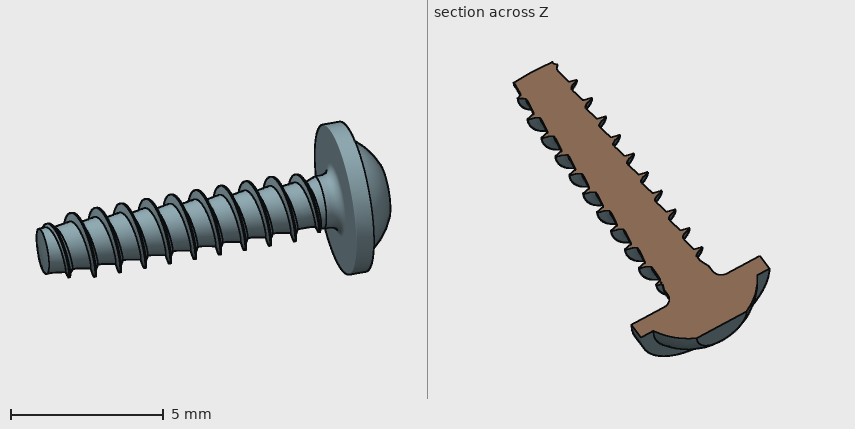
import cadquery as cq
import math

total_length = 11.6
head_diameter = 5.0
head_radius = head_diameter / 2
flange_thickness = 0.6
flange_edge_radius = 0.02
dome_height = 1.0
dome_base_radius = 2.02
dome_top_radius = 0.96

shank_length = total_length - flange_thickness - dome_height
neck_radius = 0.87
neck_fillet = 0.35
neck_end = 0.56
core_start = 0.89
core_radius = 0.74
tip_cone_height = 0.03

turns_along_shank = 11.75
pitch = shank_length / turns_along_shank
crest_radius = 1.11
crest_half_width = 0.02
flank_foot_radius = 0.88
flank_foot_offset = -0.08
collar_radius = 0.82
collar_offset = 0.09
bury_depth = 0.01
buried_radius = core_radius - bury_depth
ridge_root_radius = 0.64
ridge_top_edge = -0.17
ridge_bottom_edge = 0.63
run_in_start = 0.49
run_in_end = 1.48
run_in_crest_radius = 0.9
run_in_flank_foot_radius = 0.82
run_out_start = 8.72
faded_radius = 0.75
run_out_overrun = 0.16
run_out_end = shank_length + run_out_overrun
spline_points_per_turn = 24


def make_body():
    """Revolve the head, the neck and the plain core around the screw axis (Y)."""
    sphere_centre = (dome_top_radius**2 + dome_height**2 - dome_base_radius**2) / (2 * dome_height)
    sphere_radius = math.hypot(dome_base_radius, sphere_centre)
    dome_mid_height = dome_height / 2
    dome_mid_radius = math.sqrt(sphere_radius**2 - (dome_mid_height - sphere_centre) ** 2)
    fillet_mid = neck_fillet * (1 - math.sqrt(0.5))

    tip_edge = tip_cone_height - shank_length
    profile = (
        cq.Workplane("XY")
        .moveTo(0, flange_thickness + dome_height)
        .lineTo(dome_top_radius, flange_thickness + dome_height)
        .threePointArc(
            (dome_mid_radius, flange_thickness + dome_mid_height),
            (dome_base_radius, flange_thickness),
        )
        .lineTo(head_radius, flange_thickness)
        .lineTo(head_radius, 0)
        .lineTo(neck_radius + neck_fillet, 0)
        .threePointArc((neck_radius + fillet_mid, -fillet_mid), (neck_radius, -neck_fillet))
        .lineTo(neck_radius, -neck_end)
        .lineTo(core_radius, -core_start)
        .lineTo(core_radius, tip_edge)
        .lineTo(0, -shank_length)
        .close()
    )
    body = profile.revolve(360, (0, 0, 0), (0, 1, 0))
    rim = cq.selectors.RadiusNthSelector(-1)
    return body.edges("%CIRCLE").edges(rim).fillet(flange_edge_radius)


def ridge_profile(crest, flank_foot, collar):
    """Thread section as (offset towards the tip, radius) points, for the given radii."""
    return [
        (ridge_top_edge, ridge_root_radius),
        (ridge_top_edge, buried_radius),
        (flank_foot_offset, flank_foot),
        (-crest_half_width, crest),
        (crest_half_width, crest),
        (collar_offset, collar),
        (ridge_bottom_edge, buried_radius),
        (ridge_bottom_edge, ridge_root_radius),
    ]


def helix_point(depth, offset, radius):
    """Point on the thread whose section at this depth is shifted along the axis by offset."""
    angle = 2 * math.pi * depth / pitch
    return cq.Vector(radius * math.cos(angle), -(depth + offset), radius * math.sin(angle))


def make_ridge(start_depth, end_depth, start_profile, end_profile):
    """Helical ridge whose section changes evenly from one profile to the other."""
    steps = math.ceil(spline_points_per_turn * (end_depth - start_depth) / pitch)
    rails = []
    for (offset, start_radius), (_, end_radius) in zip(start_profile, end_profile):
        points = []
        for step in range(steps + 1):
            share = step / steps
            depth = start_depth + share * (end_depth - start_depth)
            radius = start_radius + share * (end_radius - start_radius)
            points.append(helix_point(depth, offset, radius))
        rails.append(cq.Edge.makeSpline(points))

    faces = []
    for rail, next_rail in zip(rails, rails[1:] + rails[:1]):
        faces.append(cq.Face.makeRuledSurface(rail, next_rail))
    for depth, profile in ((start_depth, start_profile), (end_depth, end_profile)):
        corners = [helix_point(depth, offset, radius) for offset, radius in profile]
        faces.append(cq.Face.makeFromWires(cq.Wire.makePolygon(corners, close=True)))
    return cq.Solid.makeSolid(cq.Shell.makeShell(faces))


def make_thread():
    """Three joined lengths: growing run-in, full thread and fading run-out."""
    run_in = ridge_profile(run_in_crest_radius, run_in_flank_foot_radius, buried_radius)
    full = ridge_profile(crest_radius, flank_foot_radius, collar_radius)
    faded = ridge_profile(faded_radius, faded_radius, faded_radius)
    return [
        make_ridge(run_in_start, run_in_end, run_in, full),
        make_ridge(run_in_end, run_out_start, full, full),
        make_ridge(run_out_start, run_out_end, full, faded),
    ]


def beyond_tip():
    """Disc just past the rim of the tip, used to trim the end of the thread."""
    disc = cq.Workplane("XZ").workplane(offset=shank_length - tip_cone_height)
    return disc.circle(crest_radius).extrude(2 * pitch)


result = make_body()
for ridge in make_thread():
    trimmed_ridge = cq.Workplane(ridge).cut(beyond_tip())
    result = result.union(trimmed_ridge)